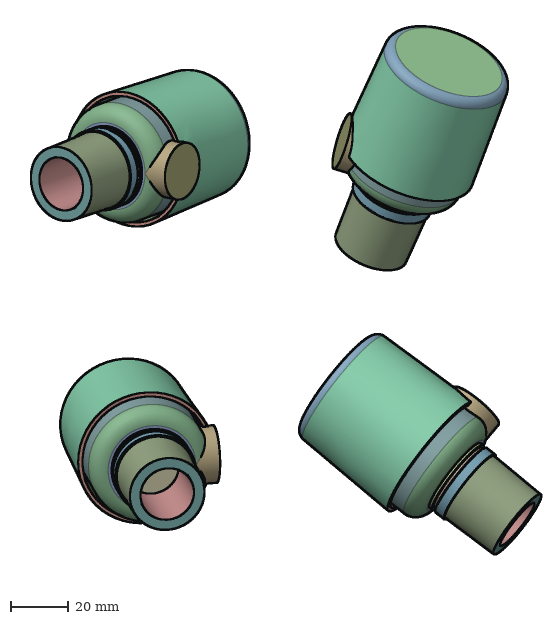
import cadquery as cq
import math

length = 81.5
tip_y = -length / 2
cap_end_y = length / 2

tip_radius = 26.7 / 2
nozzle_base_radius = 13.9
nozzle_length = 21.45
bore_diameter = 19.1

collar_radius = 28.9 / 2
collar_width = 3.9
groove_radius = 26.9 / 2
groove_width = 1.5
shoulder_width = 1.2

body_radius = 21.5
body_round = 5.9

cap_length = 42.6
cap_mouth_radius = 24.255
cap_end_radius = 23.0
cap_edge_round = 3.2
cap_wall = 1.55

port_radius = 20.3 / 2
port_end_x = 24.34

collar_y = tip_y + nozzle_length
groove_y = collar_y + collar_width
shoulder_y = groove_y + groove_width
body_y = shoulder_y + shoulder_width
cap_mouth_y = cap_end_y - cap_length
cap_round_y = cap_end_y - cap_edge_round
cap_taper = (cap_mouth_radius - cap_end_radius) / (cap_round_y - cap_mouth_y)

gap_end_y = cap_mouth_y + (cap_mouth_radius - cap_wall - body_radius) / cap_taper


def make_turned_shape():
    """Nozzle, collar, groove, body and cap, as one turned profile."""
    body_arc_offset = body_round * math.sqrt(0.5)
    cap_arc_offset = cap_edge_round * math.sqrt(0.5)
    body_arc_x = body_radius - body_round
    cap_arc_x = cap_end_radius - cap_edge_round
    return (
        cq.Workplane("XY")
        .moveTo(0, tip_y)
        .lineTo(tip_radius, tip_y)
        .lineTo(nozzle_base_radius, collar_y)
        .lineTo(collar_radius, collar_y)
        .lineTo(collar_radius, groove_y)
        .lineTo(groove_radius, groove_y)
        .lineTo(groove_radius, shoulder_y)
        .lineTo(collar_radius, shoulder_y)
        .lineTo(collar_radius, body_y)
        .lineTo(body_arc_x, body_y)
        .threePointArc(
            (body_arc_x + body_arc_offset, body_y + body_round - body_arc_offset),
            (body_radius, body_y + body_round),
        )
        .lineTo(body_radius, gap_end_y)
        .lineTo(cap_mouth_radius - cap_wall, cap_mouth_y)
        .lineTo(cap_mouth_radius, cap_mouth_y)
        .lineTo(cap_end_radius, cap_round_y)
        .threePointArc(
            (cap_arc_x + cap_arc_offset, cap_round_y + cap_arc_offset),
            (cap_arc_x, cap_end_y),
        )
        .lineTo(0, cap_end_y)
        .close()
        .revolve(360, (0, 0, 0), (0, 1, 0))
    )


def make_port():
    """Round side port reaching from the main axis to its flat end face."""
    return (
        cq.Workplane("YZ")
        .center(body_y + port_radius, 0)
        .circle(port_radius)
        .extrude(port_end_x)
    )


def make_bore():
    """Blind bore from the nozzle tip to the front plane of the body."""
    return (
        cq.Workplane("XZ", origin=(0, tip_y, 0))
        .circle(bore_diameter / 2)
        .extrude(tip_y - body_y)
    )


result = make_turned_shape().union(make_port()).cut(make_bore())